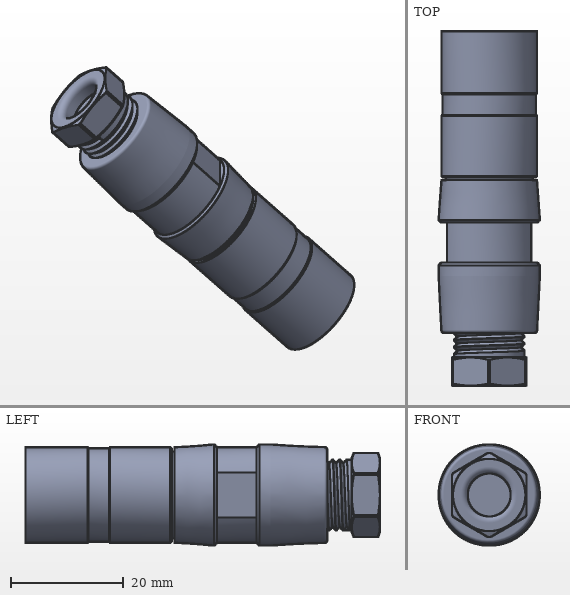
import cadquery as cq
import math

total_length = 62.9
body_d = 17.0
sleeve_d = 18.0
sleeve_chamfer = (sleeve_d - body_d) / 2

nut_length = 5.1
nut_flats = 13.15
nut_turned_d = 15.0
nut_face_d = 12.85
nut_front_chamfer = 0.4
nut_rear_chamfer = 0.45
bore_d = 7.6
bore_depth = 3.0
bore_mouth_radius = 1.15

thread_d = 12.5
thread_pitch = 1.25
thread_depth = 0.6
thread_half_width = 0.6
thread_start = 5.9
cutter_clearance = 0.05

front_sleeve_start = 9.4
front_sleeve_shoulder = 19.45
front_sleeve_end = 21.9
sleeve_nose_radius = 0.5

waist_flats = 15.0

rear_sleeve_start = 28.95
rear_sleeve_shoulder = 29.55
rear_sleeve_end = 36.5

neck_d = 15.5
barrel_start = 36.9
barrel_chamfer = 0.3
groove_d = 16.6
groove_start = 47.85
groove_end = 51.9
groove_wall_run = 0.2


def cylinder(diameter, start, end):
    """Cylinder on the Y axis from Y = start to Y = end."""
    return cq.Workplane("XZ", origin=(0, start, 0)).circle(diameter / 2).extrude(start - end)


def turned(points):
    """Solid of revolution about Y from (radius, y) points."""
    return cq.Workplane("XY").polyline(points).close().revolve(360, (0, 0, 0), (0, 1, 0))


def clamping_nut():
    corner_d = nut_flats / math.cos(math.pi / 6)
    hexagon = (
        cq.Workplane("XZ")
        .transformed(rotate=(0, 0, 90))
        .polygon(6, corner_d)
        .extrude(-nut_length)
    )
    envelope = turned([
        (0, 0),
        (nut_face_d / 2, 0),
        (nut_turned_d / 2, nut_front_chamfer),
        (nut_turned_d / 2, nut_length - nut_rear_chamfer),
        (nut_face_d / 2, nut_length),
        (0, nut_length),
    ])
    bore = cylinder(bore_d, 0, bore_depth)
    bored = hexagon.intersect(envelope).cut(bore)
    smallest_circle = cq.selectors.RadiusNthSelector(0)
    return bored.faces("<Y").edges(smallest_circle).fillet(bore_mouth_radius)


def threaded_stem():
    stem_end = front_sleeve_start + thread_pitch
    stem = cylinder(thread_d, nut_length, stem_end)
    crest = thread_d / 2
    root = crest - thread_depth
    helix = cq.Wire.makeHelix(thread_pitch, stem_end - thread_start, root)
    outer_half_width = thread_half_width * (thread_depth + cutter_clearance) / thread_depth
    cutter = (
        cq.Workplane("XZ")
        .moveTo(root, 0)
        .lineTo(crest + cutter_clearance, outer_half_width)
        .lineTo(crest + cutter_clearance, -outer_half_width)
        .close()
        .sweep(cq.Workplane(obj=helix), isFrenet=True)
    )
    cutter = (
        cutter.rotate((0, 0, 0), (0, 0, 1), 90)
        .rotate((0, 0, 0), (1, 0, 0), -90)
        .translate((0, thread_start, 0))
    )
    return stem.cut(cutter)


def tapered_sleeve(small_end, shoulder, band_end, large_end):
    """Sleeve that widens up to the shoulder, has a straight band, then a chamfer down to large_end."""
    return turned([
        (0, small_end),
        (body_d / 2, small_end),
        (sleeve_d / 2, shoulder),
        (sleeve_d / 2, band_end),
        (body_d / 2, large_end),
        (0, large_end),
    ])


def front_sleeve():
    band_end = front_sleeve_end - sleeve_chamfer
    sleeve = tapered_sleeve(front_sleeve_start, front_sleeve_shoulder, band_end, front_sleeve_end)
    return sleeve.faces("<Y").edges().fillet(sleeve_nose_radius)


def waist():
    length = rear_sleeve_start - front_sleeve_end
    middle = (rear_sleeve_start + front_sleeve_end) / 2
    slab = cq.Workplane("XY").box(waist_flats, length, body_d).translate((0, middle, 0))
    return cylinder(body_d, front_sleeve_end, rear_sleeve_start).intersect(slab)


def rear_sleeve():
    band_end = rear_sleeve_start + sleeve_chamfer
    return tapered_sleeve(rear_sleeve_end, rear_sleeve_shoulder, band_end, rear_sleeve_start)


def rear_barrel():
    neck = cylinder(neck_d, rear_sleeve_end, barrel_start)
    barrel = cylinder(body_d, barrel_start, total_length).faces("<Y").chamfer(barrel_chamfer)
    groove = turned([
        (body_d / 2, groove_start),
        (groove_d / 2, groove_start + groove_wall_run),
        (groove_d / 2, groove_end - groove_wall_run),
        (body_d / 2, groove_end),
    ])
    return neck.union(barrel.cut(groove))


result = (
    threaded_stem()
    .union(clamping_nut())
    .union(front_sleeve())
    .union(waist())
    .union(rear_sleeve())
    .union(rear_barrel())
)